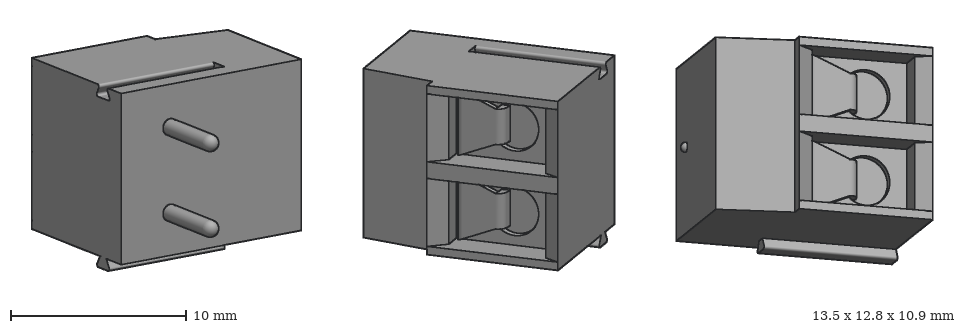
import cadquery as cq
import math

OVERLAP = 0.14

POLES = 2
HOUSING_DEPTH = 9.0
HOUSING_WIDTH = 12.5
HOUSING_HEIGHT = 10.17
PITCH = HOUSING_HEIGHT / POLES
STEP_Y = 8.0
STEP_X = 0.82
SLOPE_TOP_X = 1.59

POCKET_HEIGHT = 4.08
POCKET_FLOOR_X = 2.0
LOW_FLARE_Y = 0.93
LOW_FLARE_X = 0.47
HIGH_FLARE_Y = STEP_Y - 1.03
HIGH_FLARE_X = 0.81

AXIS_Y = 3.4
HOLE_RADIUS = 1.46
HOLE_FLOOR_X = 2.46

LEAF_FACE_X = 1.6
LEAF_ROOT_Y = 6.86
LEAF_ROOT_RADIUS = POCKET_FLOOR_X - LEAF_FACE_X
LEAF_BEND_Y = 4.43
LEAF_BEND_RADIUS = 0.5
LEAF_BEND_ANGLE = math.radians(80)
LEAF_TIP_HALF_WIDTH = 1.07
LEAF_TAPER = math.radians(22.4)

PIN_RADIUS = 0.5
PIN_LENGTH = 4.5

DOVETAIL_X = 7.2
DOVETAIL_NECK_HALF = 0.32
DOVETAIL_ANGLE = math.radians(30)
DOVETAIL_ROUNDING = 0.14
RIB_HEIGHT = 0.69
GROOVE_DEPTH = 0.73

BUMP_RADIUS = 0.3


def make_housing():
    outline = [
        (0, 0),
        (HOUSING_DEPTH, 0),
        (HOUSING_DEPTH, HOUSING_WIDTH),
        (SLOPE_TOP_X, HOUSING_WIDTH),
        (STEP_X, STEP_Y),
        (0, STEP_Y),
    ]
    return cq.Workplane("XY").polyline(outline).close().extrude(HOUSING_HEIGHT)


def make_pocket(center_z):
    """Wire pocket with flared side walls and a round hole in its floor."""
    outline = [
        (0, 0),
        (LOW_FLARE_X, LOW_FLARE_Y),
        (POCKET_FLOOR_X, LOW_FLARE_Y),
        (POCKET_FLOOR_X, HIGH_FLARE_Y),
        (HIGH_FLARE_X, HIGH_FLARE_Y),
        (0, STEP_Y),
    ]
    bottom_z = center_z - POCKET_HEIGHT / 2
    pocket = cq.Workplane("XY", origin=(0, 0, bottom_z)).polyline(outline).close().extrude(POCKET_HEIGHT)
    hole = (
        cq.Workplane("YZ", origin=(LEAF_FACE_X, AXIS_Y, center_z))
        .circle(HOLE_RADIUS)
        .extrude(HOLE_FLOOR_X - LEAF_FACE_X)
    )
    return pocket.union(hole)


def make_leaf(center_z):
    """Clamp leaf: its bent side profile trimmed to its tapered front outline."""
    base_x = HOLE_FLOOR_X + OVERLAP
    bend_center_x = LEAF_FACE_X + LEAF_BEND_RADIUS

    def bend_point(angle):
        return (
            bend_center_x - LEAF_BEND_RADIUS * math.cos(angle),
            LEAF_BEND_Y - LEAF_BEND_RADIUS * math.sin(angle),
        )

    bend_end_x, bend_end_y = bend_point(LEAF_BEND_ANGLE)
    tip_y = bend_end_y - (base_x - bend_end_x) / math.tan(LEAF_BEND_ANGLE)
    root_flat_y = LEAF_ROOT_Y - LEAF_ROOT_RADIUS
    root_offset = LEAF_ROOT_RADIUS * math.sqrt(0.5)
    root_middle = (POCKET_FLOOR_X - root_offset, root_flat_y + root_offset)

    bottom_z = center_z - POCKET_HEIGHT / 2
    bent_strip = (
        cq.Workplane("XY", origin=(0, 0, bottom_z))
        .moveTo(base_x, tip_y)
        .lineTo(bend_end_x, bend_end_y)
        .threePointArc(bend_point(LEAF_BEND_ANGLE / 2), (LEAF_FACE_X, LEAF_BEND_Y))
        .lineTo(LEAF_FACE_X, root_flat_y)
        .threePointArc(root_middle, (POCKET_FLOOR_X, LEAF_ROOT_Y))
        .lineTo(base_x, LEAF_ROOT_Y)
        .close()
        .extrude(POCKET_HEIGHT)
    )
    root_half_width = LEAF_TIP_HALF_WIDTH + (LEAF_ROOT_Y - LEAF_BEND_Y) * math.tan(LEAF_TAPER)
    front_outline = [
        (tip_y, -LEAF_TIP_HALF_WIDTH),
        (LEAF_BEND_Y, -LEAF_TIP_HALF_WIDTH),
        (LEAF_ROOT_Y, -root_half_width),
        (LEAF_ROOT_Y, root_half_width),
        (LEAF_BEND_Y, LEAF_TIP_HALF_WIDTH),
        (tip_y, LEAF_TIP_HALF_WIDTH),
    ]
    tapered_block = cq.Workplane("YZ", origin=(0, 0, center_z)).polyline(front_outline).close().extrude(base_x)
    return bent_strip.intersect(tapered_block)


def make_pin(center_z):
    """Round pin with a hemispherical tip."""
    shank = (
        cq.Workplane("YZ", origin=(HOUSING_DEPTH - OVERLAP, AXIS_Y, center_z))
        .circle(PIN_RADIUS)
        .extrude(PIN_LENGTH - PIN_RADIUS + OVERLAP)
    )
    tip_center = (HOUSING_DEPTH + PIN_LENGTH - PIN_RADIUS, AXIS_Y, center_z)
    return shank.union(cq.Workplane("XY", origin=tip_center).sphere(PIN_RADIUS))


def make_dovetail(height, neck_z):
    """Dovetail bar widening downwards from neck_z, with rounded lower corners."""
    base_half = DOVETAIL_NECK_HALF + height * math.tan(DOVETAIL_ANGLE)
    outline = [
        (DOVETAIL_X - DOVETAIL_NECK_HALF, neck_z),
        (DOVETAIL_X + DOVETAIL_NECK_HALF, neck_z),
        (DOVETAIL_X + base_half, neck_z - height),
        (DOVETAIL_X - base_half, neck_z - height),
    ]
    bar = cq.Workplane("XZ").polyline(outline).close().extrude(-STEP_Y)
    return bar.faces("<Z").edges("|Y").fillet(DOVETAIL_ROUNDING)


def round_groove_mouth(body):
    """Round the two long edges where the groove opens on the top face."""
    reach = DOVETAIL_NECK_HALF + OVERLAP
    mouth = cq.selectors.BoxSelector(
        (DOVETAIL_X - reach, 0, HOUSING_HEIGHT - OVERLAP),
        (DOVETAIL_X + reach, STEP_Y - OVERLAP, HOUSING_HEIGHT + OVERLAP),
    )
    return body.faces(">Z").edges("|Y").edges(mouth).fillet(DOVETAIL_ROUNDING)


body = make_housing().cut(make_dovetail(GROOVE_DEPTH, HOUSING_HEIGHT))
body = round_groove_mouth(body)
body = body.union(make_dovetail(RIB_HEIGHT, 0))

for pole in range(POLES):
    pole_z = HOUSING_HEIGHT / 2 + (pole - (POLES - 1) / 2) * PITCH
    body = body.cut(make_pocket(pole_z))
    body = body.union(make_leaf(pole_z))
    body = body.union(make_pin(pole_z))

bump_center = (DOVETAIL_X, HOUSING_WIDTH, HOUSING_HEIGHT / 2)
result = body.union(cq.Workplane("XY", origin=bump_center).sphere(BUMP_RADIUS))